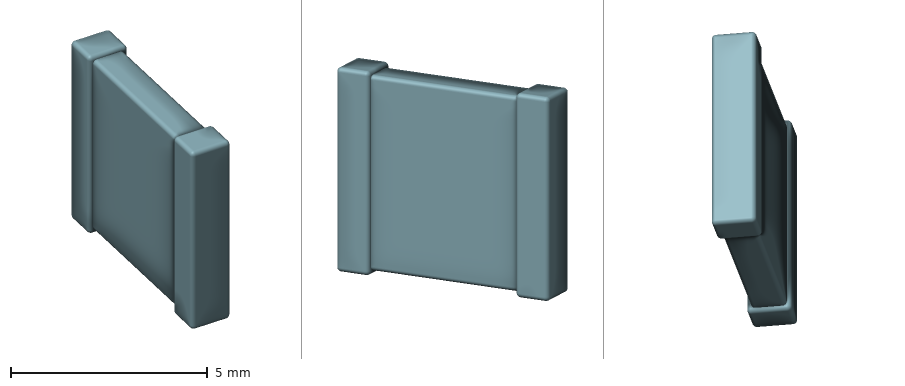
import cadquery as cq


length = 6.1
thickness = 1.15
height = 5.4

terminal_width = 0.95
edge_radius = 0.115

ceramic_step = edge_radius
ceramic_length = length - 2 * terminal_width
ceramic_thickness = thickness - 2 * ceramic_step
ceramic_height = height - 2 * ceramic_step

terminal_offset = (length - terminal_width) / 2


def make_ceramic():
    """Plate between the terminals, with its four long edges rounded."""
    plate = cq.Workplane("XY").box(ceramic_length, ceramic_thickness, ceramic_height)
    return plate.edges("|X").fillet(edge_radius)


def make_terminal(center_x):
    """Terminal block with every edge rounded, centred at the given X."""
    block = cq.Workplane("XY").box(terminal_width, thickness, height)
    return block.edges().fillet(edge_radius).translate((center_x, 0, 0))


ceramic = make_ceramic()
terminals = [make_terminal(side * terminal_offset) for side in (-1, 1)]

result = cq.Compound.makeCompound([ceramic.val(), *[terminal.val() for terminal in terminals]])